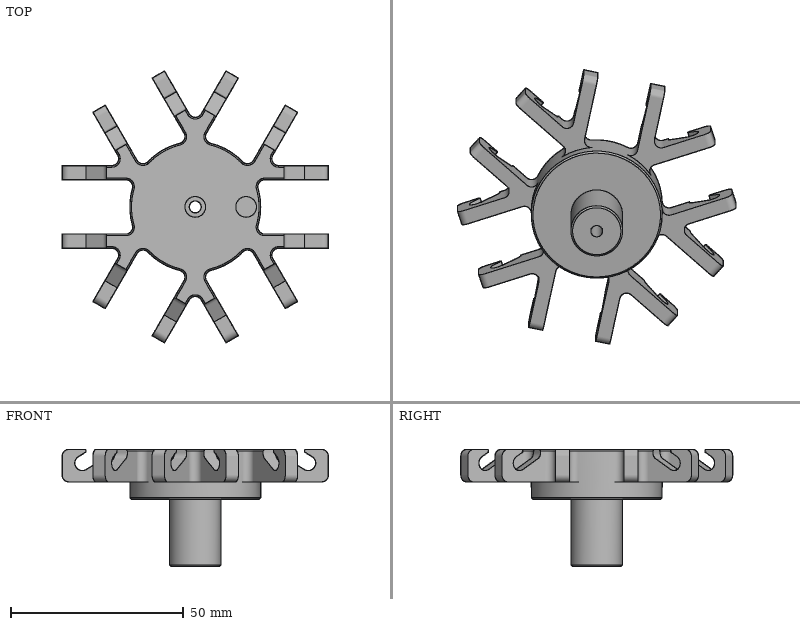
import cadquery as cq
import math

TOTAL_HEIGHT = 34.0
SHAFT_DIAMETER = 15.0
HUB_DIAMETER = 38.0
HUB_HEIGHT = 14.5
EDGE_CHAMFER = 0.5

ARM_DIRECTIONS = 6
ARM_HEIGHT = 9.5
ARM_INNER_OFFSET = 7.85
ARM_OUTER_OFFSET = 12.0
ARM_START = 16.2
ARM_REACH = 38.625
ROOT_FILLET = 2.0
TIP_FILLET = 2.0

SLOT_WALL_REACH = 25.75
SLOT_WALL_FILLET = 2.0
SLOT_END_REACH = 32.75
SLOT_END_DEPTH = 4.0
SLOT_RADIUS = 2.15
SLOT_SLOPE = 32.0
LIP_REACH = 31.65
LIP_FILLET = 0.5

BORE_DIAMETER = 3.37
POCKET_DIAMETER = 6.0
POCKET_DEPTH = 9.5
SIDE_POCKET_X = 14.75

MATCH_TOLERANCE = 0.01

hub_bottom = TOTAL_HEIGHT - HUB_HEIGHT
arm_bottom = TOTAL_HEIGHT - ARM_HEIGHT
arm_width = ARM_OUTER_OFFSET - ARM_INNER_OFFSET
arm_offset = (ARM_OUTER_OFFSET + ARM_INNER_OFFSET) / 2


def around_hub(bar):
    """Place copies of a bar along +X as mirrored pairs in every arm direction."""
    pair = bar.union(bar.mirror("XZ"))
    ring = pair
    for index in range(1, ARM_DIRECTIONS):
        ring = ring.union(pair.rotate((0, 0, 0), (0, 0, 1), index * 360 / ARM_DIRECTIONS))
    return ring


def axis_distance(edge):
    """Distance from the hub axis to the middle of an edge."""
    center = edge.Center()
    return math.hypot(center.x, center.y)


def make_star():
    """Hub disc with the full-height arm roots, filleted between and chamfered on top."""
    disc = cq.Workplane("XY").workplane(offset=arm_bottom).circle(HUB_DIAMETER / 2).extrude(ARM_HEIGHT)
    disc = disc.rotate((0, 0, 0), (0, 0, 1), 180 / ARM_DIRECTIONS)
    root = (
        cq.Workplane("XY")
        .box(SLOT_WALL_REACH - ARM_START, arm_width, ARM_HEIGHT, centered=(False, True, False))
        .translate((ARM_START, arm_offset, arm_bottom))
    )
    star = disc.union(around_hub(root)).clean()

    end_corner_radius = math.hypot(SLOT_WALL_REACH, ARM_INNER_OFFSET)
    end_middle_radius = math.hypot(SLOT_WALL_REACH, arm_offset)

    def is_root_corner(edge):
        return axis_distance(edge) < end_corner_radius - MATCH_TOLERANCE

    def is_root_end(edge):
        return abs(axis_distance(edge) - end_middle_radius) < MATCH_TOLERANCE

    upright = [edge for edge in star.edges("|Z").vals() if is_root_corner(edge)]
    star = star.newObject(upright).fillet(ROOT_FILLET)

    rim = [edge for edge in star.faces(">Z").edges().vals() if not is_root_end(edge)]
    return star.newObject(rim).chamfer(EDGE_CHAMFER)


def make_hook():
    """Outer part of one arm: a bar with rounded tip corners and an open slanted slot."""
    length = ARM_REACH - SLOT_WALL_REACH
    bar = (
        cq.Workplane("XY")
        .box(length, arm_width, ARM_HEIGHT, centered=(False, True, False))
        .translate((SLOT_WALL_REACH, arm_offset, arm_bottom))
        .edges(">X and |Y")
        .fillet(TIP_FILLET)
    )

    slope = math.radians(SLOT_SLOPE)
    end_x = SLOT_END_REACH
    end_z = TOTAL_HEIGHT - SLOT_END_DEPTH
    normal_x = SLOT_RADIUS * math.sin(slope)
    normal_z = SLOT_RADIUS * math.cos(slope)
    roof = (end_x + normal_x, end_z + normal_z)
    floor = (end_x - normal_x, end_z - normal_z)
    round_end = (end_x + normal_z, end_z - normal_x)
    lip_z = roof[1] + (roof[0] - LIP_REACH) * math.tan(slope)
    wall_z = floor[1] + (floor[0] - SLOT_WALL_REACH) * math.tan(slope)

    slot = (
        cq.Workplane("XZ")
        .moveTo(SLOT_WALL_REACH, TOTAL_HEIGHT)
        .lineTo(LIP_REACH, TOTAL_HEIGHT)
        .lineTo(LIP_REACH, lip_z)
        .lineTo(*roof)
        .threePointArc(round_end, floor)
        .lineTo(SLOT_WALL_REACH, wall_z)
        .close()
        .extrude(-2 * ARM_OUTER_OFFSET)
    )
    lower_wall_corner = cq.selectors.NearestToPointSelector((SLOT_WALL_REACH, ARM_OUTER_OFFSET, wall_z))
    slot = slot.edges(lower_wall_corner).fillet(SLOT_WALL_FILLET)
    lip_corner = cq.selectors.NearestToPointSelector((LIP_REACH, arm_offset, TOTAL_HEIGHT))
    return bar.cut(slot).edges(lip_corner).fillet(LIP_FILLET)


def make_hub_and_shaft():
    """Plain hub below the arms and the shaft, each chamfered at its lower rim."""
    hub = (
        cq.Workplane("XY")
        .workplane(offset=hub_bottom)
        .circle(HUB_DIAMETER / 2)
        .extrude(HUB_HEIGHT - ARM_HEIGHT)
        .faces("<Z")
        .chamfer(EDGE_CHAMFER)
    )
    shaft = (
        cq.Workplane("XY")
        .circle(SHAFT_DIAMETER / 2)
        .extrude(hub_bottom)
        .faces("<Z")
        .chamfer(EDGE_CHAMFER)
    )
    return hub.union(shaft)


def make_holes():
    """Through bore with a counterbore, and a blind pocket beside it."""
    bore = cq.Workplane("XY").circle(BORE_DIAMETER / 2).extrude(TOTAL_HEIGHT)
    pockets = (
        cq.Workplane("XY")
        .workplane(offset=TOTAL_HEIGHT - POCKET_DEPTH)
        .pushPoints([(0, 0), (SIDE_POCKET_X, 0)])
        .circle(POCKET_DIAMETER / 2)
        .extrude(POCKET_DEPTH)
    )
    return bore.union(pockets)


wheel = make_star().union(around_hub(make_hook()))
result = wheel.union(make_hub_and_shaft()).cut(make_holes())